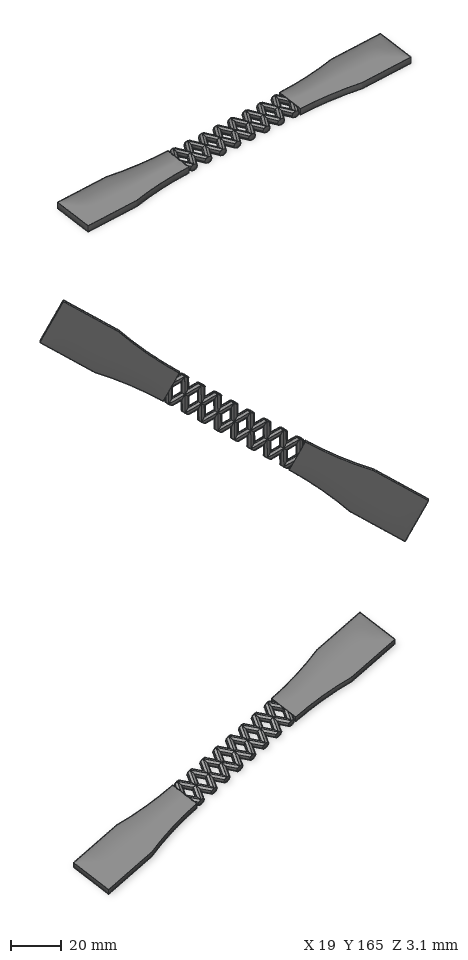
import cadquery as cq
import math

length = 165.0
grip_width = 19.0
thickness = 3.1

gauge_width = 13.0
lattice_length = 57.0
grip_length = 24.9
shoulder_facets = 4

crossing_pitch = 7.5
strut_angle = 30.0
strut_diameter = thickness
strut_sides = 8

half_gauge = gauge_width / 2
half_grip = grip_width / 2
half_length = length / 2
half_lattice = lattice_length / 2
crossings_per_side = math.ceil(half_lattice / crossing_pitch)

shoulder_run = half_length - grip_length - half_lattice
shoulder_rise = half_grip - half_gauge
shoulder_radius = (shoulder_run**2 + shoulder_rise**2) / (2 * shoulder_rise)
shoulder_angle = math.asin(shoulder_run / shoulder_radius)


def solid_end():
    """Grip and faceted shoulder at the +Y end, down to the edge of the lattice."""
    side = []
    for i in range(shoulder_facets + 1):
        angle = shoulder_angle * i / shoulder_facets
        x = half_gauge + shoulder_radius * (1 - math.cos(angle))
        y = half_lattice + shoulder_radius * math.sin(angle)
        side.append((x, y))
    side.append((half_grip, half_length))
    mirrored_side = [(-x, y) for x, y in reversed(side)]
    outline = cq.Workplane("XY").polyline(side + mirrored_side).close()
    return outline.extrude(thickness / 2, both=True)


def strut(y, angle):
    """Octagonal bar crossing the centreline at y, inclined to X, with ridges at its top and bottom."""
    bar = cq.Workplane("YZ").polygon(strut_sides, strut_diameter).extrude(gauge_width, both=True)
    return bar.rotate((0, 0, 0), (0, 0, 1), angle).translate((0, y, 0))


def lattice():
    """Crossing struts trimmed to the gauge section."""
    net = cq.Workplane("XY")
    for i in range(-crossings_per_side, crossings_per_side + 1):
        for angle in (strut_angle, -strut_angle):
            net = net.union(strut(i * crossing_pitch, angle))
    return net.intersect(cq.Workplane("XY").box(gauge_width, lattice_length, thickness))


end = solid_end()
result = end.union(end.mirror("XZ")).union(lattice())